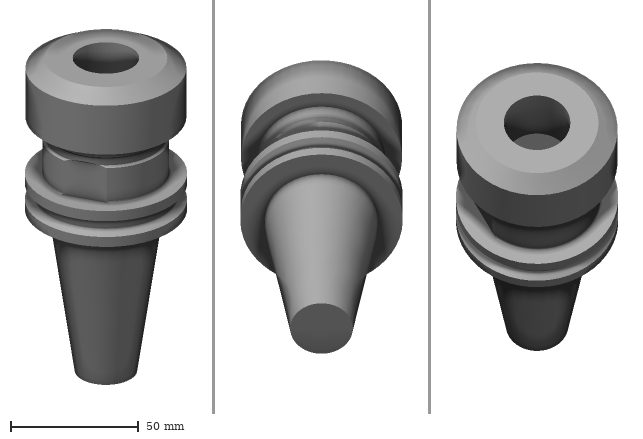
import cadquery as cq
import math


gauge_radius = 44.45 / 2
taper_length = 68.4
taper_slope = 7 / 48
shank_end_radius = gauge_radius - taper_length * taper_slope

flange_bottom = 3.2
flange_top = 19.1
flange_radius = 63.55 / 2
groove_center = 11.1
groove_mouth_width = 7.0
groove_floor_width = 3.8
groove_floor_radius = 56.25 / 2
groove_fillet = 0.5

body_radius = 24.75
body_top = 35.2
body_chamfer = 0.8
base_fillet = 0.75
flat_distance = 23.1
flat_runout_angle = 45

neck_radius = 23.9
neck_top = 38.2
collar_radius = 25.0
collar_bottom = neck_top + (collar_radius - neck_radius)

nut_bottom = 44.0
nut_top = 70.0
nut_radius = 31.5
nut_face_radius = 24.0
nut_bevel_angle = 30
nut_bevel_height = (nut_radius - nut_face_radius) * math.tan(math.radians(nut_bevel_angle))

bore_radius = 13.0
bore_depth = nut_top - nut_bottom


def make_shank():
    profile = (
        cq.Workplane("XZ")
        .moveTo(0, -taper_length)
        .lineTo(shank_end_radius, -taper_length)
        .lineTo(gauge_radius, 0)
        .lineTo(gauge_radius, flange_bottom)
        .lineTo(0, flange_bottom)
        .close()
    )
    return profile.revolve(360, (0, 0, 0), (0, 1, 0))


def make_flange():
    half_mouth = groove_mouth_width / 2
    half_floor = groove_floor_width / 2
    profile = (
        cq.Workplane("XZ")
        .moveTo(0, flange_bottom)
        .lineTo(flange_radius, flange_bottom)
        .lineTo(flange_radius, groove_center - half_mouth)
        .lineTo(groove_floor_radius, groove_center - half_floor)
        .lineTo(groove_floor_radius, groove_center + half_floor)
        .lineTo(flange_radius, groove_center + half_mouth)
        .lineTo(flange_radius, flange_top)
        .lineTo(0, flange_top)
        .close()
    )
    flange = profile.revolve(360, (0, 0, 0), (0, 1, 0))
    floor_edges = cq.selectors.BoxSelector(
        (-flange_radius, -flange_radius, groove_center - half_floor - groove_fillet),
        (flange_radius, flange_radius, groove_center + half_floor + groove_fillet),
        boundingbox=True,
    )
    return flange.edges(floor_edges).edges("%CIRCLE").fillet(groove_fillet)


def make_body():
    fillet_middle = base_fillet * (1 - math.sqrt(0.5))
    profile = (
        cq.Workplane("XZ")
        .moveTo(0, flange_top)
        .lineTo(body_radius + base_fillet, flange_top)
        .threePointArc(
            (body_radius + fillet_middle, flange_top + fillet_middle),
            (body_radius, flange_top + base_fillet),
        )
        .lineTo(body_radius, body_top - body_chamfer)
        .lineTo(neck_radius, body_top)
        .lineTo(neck_radius, neck_top)
        .lineTo(collar_radius, collar_bottom)
        .lineTo(collar_radius, nut_bottom)
        .lineTo(0, nut_bottom)
        .close()
    )
    return profile.revolve(360, (0, 0, 0), (0, 1, 0))


def make_flat_cutter():
    """Prism removing the body outside the -Y flat, with a sloped runout into the neck."""
    outer = flange_radius
    runout_height = (neck_radius - flat_distance) * math.tan(math.radians(flat_runout_angle))
    profile = (
        cq.Workplane("YZ")
        .moveTo(-flat_distance, flange_top)
        .lineTo(-flat_distance, body_top)
        .lineTo(-neck_radius, body_top + runout_height)
        .lineTo(-outer, body_top + runout_height)
        .lineTo(-outer, flange_top)
        .close()
    )
    return profile.extrude(outer, both=True)


def make_nut():
    profile = (
        cq.Workplane("XZ")
        .moveTo(0, nut_bottom)
        .lineTo(nut_radius, nut_bottom)
        .lineTo(nut_radius, nut_top - nut_bevel_height)
        .lineTo(nut_face_radius, nut_top)
        .lineTo(0, nut_top)
        .close()
    )
    return profile.revolve(360, (0, 0, 0), (0, 1, 0))


def make_bore():
    return cq.Workplane("XY").workplane(offset=nut_top).circle(bore_radius).extrude(-bore_depth)


body = make_body()
flat_cutter = make_flat_cutter()
for angle in (0, 180):
    body = body.cut(flat_cutter.rotate((0, 0, 0), (0, 0, 1), angle))

result = make_shank().union(make_flange()).union(body).union(make_nut()).cut(make_bore())